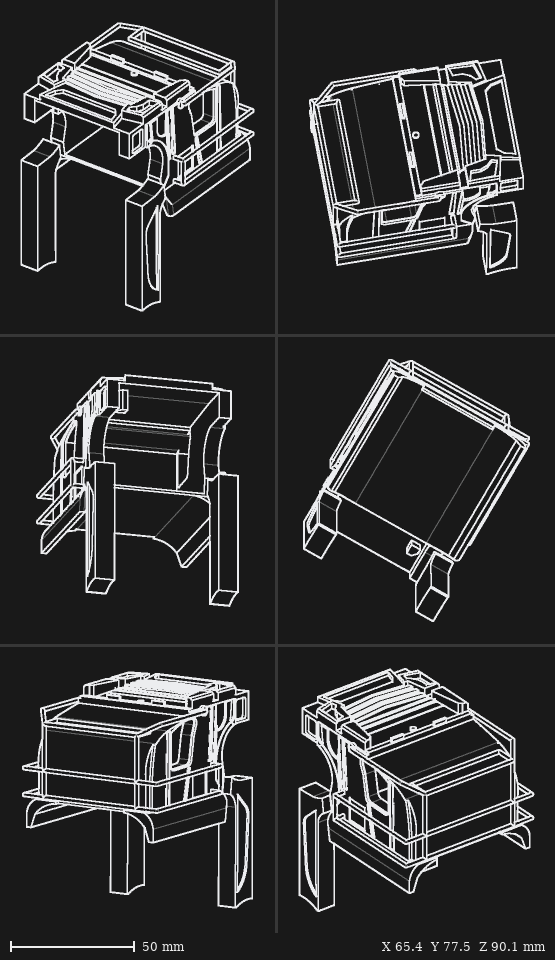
import cadquery as cq


OVERALL_WIDTH = 65.4
OVERALL_LENGTH = 77.46
TOP_Z = 90.14
HALF_WIDTH = 26.2
SIDE_HALF_WIDTH = 27.1
CAVITY_HALF_WIDTH = 21.1
BACK_Z = 47.7
BACK_WALL = 1.1
LEDGE_Z = 86.3
BUMPER_Z = 88.74
GRILLE_FRONT_Y = 13.8
GRILLE_FRONT_Z = 87.9
BONNET_REAR_Z = 85.0
CEILING_Z = 85.1
CEILING_BEND_Y = 14.0
WINDSHIELD_Y = 41.8
PILLAR_FRONT_Y = 25.9
LAMP_REAR_Y = 22.6
SIDE_START_Y = 11.0
SIDE_TOP_Z = 84.9
STRIP_TOP_Z = 85.9
STRIP_REAR_Y = 44.3
FAIRING_Z = 36.8
FAIRING_END_Y = 77.2
FAIRING_HALF_WIDTH = 30.6
OVERSHOOT = 1.0


def prism_x(profile, x_start, x_end):
    """Extrude a closed YZ profile from x_start to x_end."""
    return profile.extrude(x_end - x_start).translate((x_start, 0, 0))


def yz_polygon(points):
    return cq.Workplane("YZ").polyline(points).close()


def prism_z(points, z_start, z_end):
    return cq.Workplane("XY").polyline(points).close().extrude(z_end - z_start).translate((0, 0, z_start))


def both_sides(shape):
    return shape.union(shape.mirror("YZ"))


def on_sides(profile, x_inner, x_outer):
    """Same YZ profile on the left and the right of the cab."""
    return both_sides(prism_x(profile, x_inner, x_outer))


PILLAR_CHAMFER = 0.9
FAIRING_TOP_Z = 48.7
FAIRING_ROOT_X = 16.5
CAVITY_END_Y = 59.5
CAVITY_STEP_Y = 40.5


def cab_profile():
    """Side outline of the cab without its rear fairings."""
    return (
        cq.Workplane("YZ")
        .moveTo(0, TOP_Z)
        .lineTo(0, 74.5)
        .lineTo(12.5, 74.5)
        .threePointArc((18.5, 70.9), (21.4, 61.8))
        .lineTo(19.9, 55.1)
        .lineTo(21.1, BACK_Z)
        .lineTo(75.3, BACK_Z)
        .lineTo(75.3, 61.0)
        .threePointArc((74.2, 70.5), (69.5, 76.0))
        .threePointArc((65.6, 78.25), (60.9, 79.9))
        .threePointArc((52.5, 81.5), (STRIP_REAR_Y, 82.9))
        .lineTo(STRIP_REAR_Y, STRIP_TOP_Z)
        .lineTo(WINDSHIELD_Y, STRIP_TOP_Z)
        .lineTo(WINDSHIELD_Y, TOP_Z)
        .close()
    )


def cab_shell():
    core = prism_x(cab_profile(), -HALF_WIDTH, HALF_WIDTH).edges("|Y and >Z").chamfer(PILLAR_CHAMFER)
    sides = prism_x(cab_profile(), -SIDE_HALF_WIDTH, SIDE_HALF_WIDTH)
    side_zone = (
        cq.Workplane("XY")
        .box(2 * SIDE_HALF_WIDTH, FAIRING_END_Y, SIDE_TOP_Z, centered=(True, False, False))
        .translate((0, SIDE_START_Y, 0))
    )
    return core.union(sides.intersect(side_zone))


def cavity():
    """Interior, open towards the bumper side."""
    profile = yz_polygon([
        (-OVERSHOOT, BACK_Z + BACK_WALL),
        (CAVITY_END_Y, BACK_Z + BACK_WALL),
        (CAVITY_END_Y, 78.4),
        (CAVITY_STEP_Y, 82.2),
        (CAVITY_STEP_Y, 83.6),
        (CEILING_BEND_Y, CEILING_Z),
        (-OVERSHOOT, CEILING_Z),
    ])
    return prism_x(profile, -CAVITY_HALF_WIDTH, CAVITY_HALF_WIDTH)


def window_outline():
    return (
        cq.Workplane("YZ")
        .moveTo(58.0, 78.3)
        .threePointArc((51.8, 80.5), (45.4, 81.6))
        .lineTo(42.0, 81.6)
        .threePointArc((40.7, 81.0), (40.4, 79.0))
        .lineTo(42.1, 74.9)
        .lineTo(43.9, 65.2)
        .threePointArc((44.5, 64.0), (46.0, 63.4))
        .lineTo(56.2, 63.2)
        .threePointArc((57.5, 63.7), (58.0, 65.2))
        .close()
    )


def window():
    """Opening through both sides, with a shallow rebate around it on the outside."""
    rebate_width = 0.5
    rebate_depth = 1.0
    reach = SIDE_HALF_WIDTH + OVERSHOOT
    opening = prism_x(window_outline(), -reach, reach)
    rebate = on_sides(window_outline().offset2D(rebate_width), -reach, -SIDE_HALF_WIDTH + rebate_depth)
    return opening.union(rebate)


def fairings():
    """Flared side walls reaching back behind the cab, cut off obliquely at the wheel arch."""
    left = (
        cq.Workplane("XZ")
        .moveTo(-FAIRING_ROOT_X, BACK_Z)
        .threePointArc((-22.0, 46.2), (-26.5, 42.5))
        .lineTo(-28.5, FAIRING_Z)
        .lineTo(-FAIRING_HALF_WIDTH, FAIRING_Z)
        .lineTo(-FAIRING_HALF_WIDTH, 42.5)
        .threePointArc((-29.2, 46.2), (-SIDE_HALF_WIDTH, 48.2))
        .lineTo(-HALF_WIDTH, FAIRING_TOP_Z)
        .lineTo(-FAIRING_ROOT_X, FAIRING_TOP_Z)
        .close()
        .extrude(-FAIRING_END_Y)
    )
    oblique = yz_polygon([
        (21.0, FAIRING_TOP_Z),
        (22.9, FAIRING_Z),
        (FAIRING_END_Y, FAIRING_Z),
        (FAIRING_END_Y, FAIRING_TOP_Z),
    ])
    left = left.intersect(prism_x(oblique, -FAIRING_HALF_WIDTH, 0))
    front_corner_radius = 1.5
    front_corner = cq.selectors.BoxSelector((-31.0, 21.5, 36.0), (-30.0, 24.0, 43.0))
    return both_sides(left.edges(front_corner).fillet(front_corner_radius))


BONNET_SLOPE = (BONNET_REAR_Z - GRILLE_FRONT_Z) / (WINDSHIELD_Y - GRILLE_FRONT_Y)
BONNET_HALF_FRONT = 19.7
GRILLE_HALF_FRONT = 17.0
GRILLE_SAG = 1.8
GRILLE_BAR_HEIGHT = 0.7


def bonnet_z(y):
    return GRILLE_FRONT_Z + BONNET_SLOPE * (y - GRILLE_FRONT_Y)


def above_bonnet(bottom_offset, top_offset):
    """Slab parallel to the sloping bonnet, between two heights relative to it."""
    front = 10.0
    slab = yz_polygon([
        (front, bonnet_z(front) + bottom_offset),
        (WINDSHIELD_Y, BONNET_REAR_Z + bottom_offset),
        (WINDSHIELD_Y, BONNET_REAR_Z + top_offset),
        (front, bonnet_z(front) + top_offset),
    ])
    return prism_x(slab, -HALF_WIDTH, HALF_WIDTH)


def bonnet_clearance():
    """Space above the sunken bonnet and grille, between the pillars and lamps."""
    right = [
        (23.6, WINDSHIELD_Y),
        (23.6, 41.3),
        (22.3, 40.4),
        (BONNET_HALF_FRONT, 25.6),
        (19.0, 24.0),
        (GRILLE_HALF_FRONT, GRILLE_FRONT_Y),
    ]
    left = [(-x, y) for x, y in reversed(right)]
    slab_height = 2 * (TOP_Z - BONNET_REAR_Z)
    middle = (0, GRILLE_FRONT_Y - GRILLE_SAG)
    outline = prism_z(right + [middle] + left, BONNET_REAR_Z - OVERSHOOT, TOP_Z + OVERSHOOT)
    return outline.intersect(above_bonnet(0, slab_height))


def corner_clearance():
    """Drop of the bumper corners in front of the lamps."""
    left = [
        (-HALF_WIDTH - OVERSHOOT, -OVERSHOOT),
        (-18.4, -OVERSHOOT),
        (-18.4, 0),
        (-16.8, 7.7),
        (-HALF_WIDTH, 9.7),
        (-HALF_WIDTH - OVERSHOOT, 9.7),
    ]
    return both_sides(prism_z(left, LEDGE_Z, TOP_Z + OVERSHOOT))


def bumper_clearance():
    """Space above the raised middle of the bumper."""
    right = [(18.4, -OVERSHOOT), (18.4, 0), (16.8, 7.7), (15.3, GRILLE_FRONT_Y)]
    left = [(-x, y) for x, y in reversed(right)]
    return prism_z(right + left, BUMPER_Z, TOP_Z + OVERSHOOT)


def bumper_recess():
    depth = 1.6
    points = [(-16.4, 1.4), (16.4, 1.4), (15.2, 6.0), (13.0, 8.6), (-13.0, 8.6), (-15.2, 6.0)]
    return prism_z(points, BUMPER_Z - depth, TOP_Z)


def pillar_gap():
    gap = prism_z([
        (-SIDE_HALF_WIDTH, LAMP_REAR_Y),
        (-18.4, LAMP_REAR_Y),
        (-19.7, PILLAR_FRONT_Y),
        (-SIDE_HALF_WIDTH, PILLAR_FRONT_Y),
    ], LEDGE_Z, TOP_Z + OVERSHOOT)
    return both_sides(gap)


def lamp_pocket():
    depth = 2.5
    pocket = prism_z([
        (-25.4, 21.8),
        (-21.2, 20.6),
        (-21.2, 16.6),
        (-20.0, 13.8),
        (-17.9, 11.6),
        (-18.4, 9.4),
        (-25.0, 11.5),
    ], TOP_Z - depth, TOP_Z + OVERSHOOT)
    return both_sides(pocket)


def chevron_bar(y_side, half_length, width, sag):
    """Grille bar sagging towards the bumper in its middle."""
    points = [
        (-half_length, y_side),
        (0, y_side - sag),
        (half_length, y_side),
        (half_length, y_side - width),
        (0, y_side - sag - width),
        (-half_length, y_side - width),
    ]
    bar = prism_z(points, BONNET_REAR_Z, TOP_Z)
    return bar.intersect(above_bonnet(-GRILLE_BAR_HEIGHT, GRILLE_BAR_HEIGHT))


def grille():
    first_y = 23.3
    pitch = 3.5
    taper = 0.55
    half_length = 18.5
    width = 1.7
    bars = chevron_bar(first_y, half_length, width, GRILLE_SAG)
    for i in (1, 2):
        bars = bars.union(chevron_bar(first_y - i * pitch, half_length - i * taper, width, GRILLE_SAG))
    return bars


def bonnet_grooves():
    """Grooves across the bonnet, given by place, half length and width."""
    depth = 0.8
    grooves = cq.Workplane("XY")
    for y, half_length, width in ((32.5, 20.8, 0.3), (28.3, 20.1, 1.1), (25.2, 19.5, 0.8)):
        groove = cq.Workplane("XY").rect(2 * half_length, width).extrude(TOP_Z).translate((0, y, 0))
        grooves = grooves.add(groove)
    return grooves.combine().intersect(above_bonnet(-depth, depth))


def windshield_hinges():
    hinge_length, hinge_width, hinge_height = 6.0, 1.0, 1.6
    hinges = cq.Workplane("XY").pushPoints([(-10.8, 43.1), (10.8, 43.1)]).rect(hinge_length, hinge_width)
    return hinges.extrude(hinge_height).translate((0, 0, STRIP_TOP_Z))


def washer_nozzle():
    nozzle_y = 39.5
    radius = 1.2
    height = 0.9
    embed = 0.5
    seat = cq.Workplane("XY", origin=(0, nozzle_y, BONNET_REAR_Z - embed))
    return seat.circle(radius).extrude(embed + height)


def side_recess(profile, depth, half_width):
    return on_sides(profile, -half_width - OVERSHOOT, -half_width + depth)


def bumper_side_pocket():
    profile = cq.Workplane("YZ", origin=(0, 5.8, 79.9)).rect(7.1, 8.6)
    depth = 1.5
    corner_radius = 1.0
    return side_recess(profile, depth, HALF_WIDTH).edges("|X").fillet(corner_radius)


def lamp_side_recesses():
    quarter = (
        cq.Workplane("YZ")
        .moveTo(25.0, 84.9)
        .lineTo(17.9, 84.9)
        .lineTo(17.9, 79.0)
        .threePointArc((20.2, 75.3), (24.6, 74.0))
        .close()
    )
    blade = yz_polygon([(13.9, 84.9), (11.2, 84.9), (11.2, 78.0), (12.8, 76.3), (14.9, 76.8)])
    depth = 0.8
    return side_recess(quarter, depth, SIDE_HALF_WIDTH).union(side_recess(blade, depth, SIDE_HALF_WIDTH))


def door_grooves():
    outlines = [
        [(29.0, 84.2), (27.8, 84.2), (28.7, 62.4), (30.6, 62.4)],
        [(25.2, 84.9), (23.9, 84.9), (26.0, 61.2), (27.2, 61.2)],
        [(61.3, 79.4), (59.3, 79.4), (59.6, 48.4), (62.1, 48.4)],
        [(44.5, 62.0), (45.9, 62.0), (49.0, 48.7), (47.3, 48.7)],
    ]
    depth = 0.4
    grooves = side_recess(yz_polygon(outlines[0]), depth, SIDE_HALF_WIDTH)
    for outline in outlines[1:]:
        grooves = grooves.union(side_recess(yz_polygon(outline), depth, SIDE_HALF_WIDTH))
    return grooves


def step_panel():
    """Sunken rectangular panel in the lower part of the door."""
    profile = cq.Workplane("YZ", origin=(0, 37.6, 54.3)).rect(10.4, 10.6)
    depth = 0.6
    return side_recess(profile, depth, SIDE_HALF_WIDTH)


def roof_edge_step():
    """Narrower strip of the sides next to the roof."""
    profile = (
        cq.Workplane("YZ")
        .moveTo(69.9, 76.5)
        .threePointArc((71.6, 69.0), (72.5, 61.0))
        .lineTo(72.5, 48.9)
        .lineTo(FAIRING_END_Y, 48.9)
        .lineTo(FAIRING_END_Y, 76.5)
        .close()
    )
    depth = 1.2
    return side_recess(profile, depth, SIDE_HALF_WIDTH)


def arch_lip():
    profile = (
        cq.Workplane("YZ")
        .moveTo(12.5, 74.5)
        .threePointArc((18.5, 70.9), (21.4, 61.8))
        .lineTo(19.9, 55.1)
        .lineTo(21.0, 48.5)
        .lineTo(25.7, 54.2)
        .lineTo(25.7, 61.4)
        .threePointArc((22.5, 70.2), (14.5, 76.2))
        .close()
    )
    height = 0.3
    return on_sides(profile, -SIDE_HALF_WIDTH - height, -SIDE_HALF_WIDTH + OVERSHOOT)


RACK_Z = 83.8
RACK_END_Y = 34.4
BOSS_HEIGHT = 0.4
BOSS_RADIUS = 2.0


def rack_bosses():
    """Round seats on the pillars for the ends of the roof rack."""
    profile = cq.Workplane("YZ", origin=(0, RACK_END_Y, RACK_Z)).circle(BOSS_RADIUS)
    return on_sides(profile, -SIDE_HALF_WIDTH - BOSS_HEIGHT, -SIDE_HALF_WIDTH + OVERSHOOT)


def make_cab():
    body = cab_shell().cut(cavity()).cut(window()).union(fairings())
    for clearance in (bonnet_clearance(), corner_clearance(), bumper_clearance(), pillar_gap()):
        body = body.cut(clearance)
    for recess in (bumper_recess(), lamp_pocket(), bonnet_grooves()):
        body = body.cut(recess)
    for recess in (bumper_side_pocket(), lamp_side_recesses(), door_grooves()):
        body = body.cut(recess)
    for recess in (step_panel(), roof_edge_step()):
        body = body.cut(recess)
    for addition in (grille(), windshield_hinges(), washer_nozzle(), arch_lip(), rack_bosses()):
        body = body.union(addition)
    return body


FENDER_INNER_X = 22.0
FENDER_OUTER_X = 30.2


def make_fender(side):
    """side is -1 for the left fender and +1 for the right one."""
    outline = (
        cq.Workplane("YZ")
        .moveTo(3.35, 51.6)
        .lineTo(12.0, 51.9)
        .threePointArc((15.3, 52.7), (18.5, 54.1))
        .lineTo(19.4, 47.3)
        .threePointArc((16.9, 44.9), (15.7, 41.5))
        .lineTo(15.9, 0)
        .lineTo(15.3, 0)
        .threePointArc((9.5, 1.8), (3.35, 1.8))
        .close()
    )
    panel = (
        cq.Workplane("YZ")
        .moveTo(14.1, 46.4)
        .lineTo(7.6, 40.4)
        .threePointArc((6.4, 38.6), (6.0, 36.5))
        .lineTo(7.4, 17.0)
        .threePointArc((9.7, 10.5), (14.4, 6.2))
        .close()
    )
    panel_depth = 0.8
    body = prism_x(outline, FENDER_INNER_X, FENDER_OUTER_X)
    body = body.cut(prism_x(panel, FENDER_OUTER_X - panel_depth, FENDER_OUTER_X + OVERSHOOT))
    return body if side > 0 else body.mirror("YZ")


TUBE_RADIUS = 0.8
RAIL_X = OVERALL_WIDTH / 2 - TUBE_RADIUS
RAIL_FRONT_Y = 29.3
RAIL_LEVELS = (49.9, 60.9)
CAGE_ROOF_Y = OVERALL_LENGTH - TUBE_RADIUS
RACK_X = 28.5
RACK_BEND_Y = 68.5
RACK_CORNER_X = 22.3
RACK_CORNER_Z = 80.0
HOOP_Y = 67.6
RACK_END_SLANT = 0.9


def tube(points):
    """Round tube through the points, with ball joints at its inner bends."""
    body = cq.Workplane("XY")
    for start, end in zip(points, points[1:]):
        path = cq.Vector(*end) - cq.Vector(*start)
        body = body.add(cq.Solid.makeCylinder(TUBE_RADIUS, path.Length, cq.Vector(*start), path))
    for point in points[1:-1]:
        body = body.add(cq.Workplane("XY").sphere(TUBE_RADIUS).translate(point))
    return body.combine()


def mirrored_path(half):
    """Continue a left-hand path across the middle to the right."""
    return half + [(-x, y, z) for x, y, z in reversed(half)]


def make_cage():
    rack_corner = (-RACK_CORNER_X, CAGE_ROOF_Y, RACK_CORNER_Z)
    cage = tube(mirrored_path([
        (-SIDE_HALF_WIDTH - BOSS_HEIGHT, RACK_END_Y, RACK_Z),
        (-RACK_X, RACK_END_Y + RACK_END_SLANT, RACK_Z),
        (-RACK_X, RACK_BEND_Y, RACK_Z),
        rack_corner,
    ]))
    cage = cage.union(tube(mirrored_path([rack_corner, (-RACK_CORNER_X, HOOP_Y, RACK_CORNER_Z)])))
    for level in RAIL_LEVELS:
        cage = cage.union(tube(mirrored_path([
            (-SIDE_HALF_WIDTH, RAIL_FRONT_Y, level),
            (-RAIL_X, RAIL_FRONT_Y, level),
            (-RAIL_X, CAGE_ROOF_Y, level),
        ])))
    for side in (-1, 1):
        front_post = [(side * RAIL_X, RAIL_FRONT_Y, level) for level in RAIL_LEVELS]
        roof_post = [(side * RACK_CORNER_X, CAGE_ROOF_Y, level) for level in (RAIL_LEVELS[0], RACK_CORNER_Z)]
        cage = cage.union(tube(front_post)).union(tube(roof_post))
    side_space = cq.Workplane("XY").box(
        2 * (SIDE_HALF_WIDTH + BOSS_HEIGHT), 2 * WINDSHIELD_Y, TOP_Z, centered=(True, True, False))
    return cage.cut(side_space)


def make_post():
    x_start, x_end = -19.2, -15.1
    bottom_z = 76.7
    section = [(x_start, 10.0), (-17.2, 8.0), (x_end, 8.0), (x_end, 12.0), (x_start, 12.0)]
    return prism_z(section, bottom_z, CEILING_Z)


cab = make_cab()
fenders = [make_fender(side) for side in (-1, 1)]
cage = make_cage()
post = make_post()

result = cq.Compound.makeCompound([
    cab.solids().val(),
    *[fender.solids().val() for fender in fenders],
    cage.solids().val(),
    post.solids().val(),
])